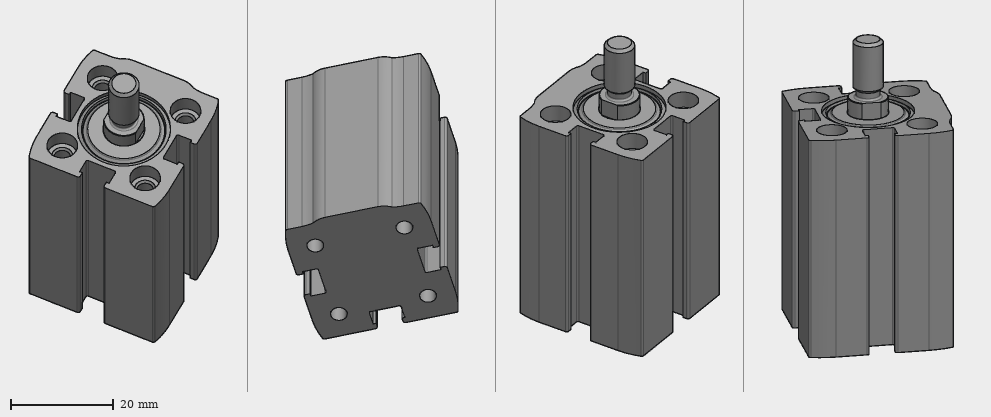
import cadquery as cq
import math

body_width = 29.0
body_height = 45.5
side_half = body_width / 2
front_y = 14.5
shoulder_y = 14.4
ridge_y = 15.5
side_flat_half = 9.25
corner_x = 13.6
corner_radius = 0.5
ridge_half = 5.4
flank_x = 8.0
flank_y = 14.7
ridge_foot = 10.3

slot_depth = 4.5
slot_half = 3.2
mouth_half = 2.6
lip_depth = 1.35
slot_corner_radius = 0.35
lip_radius = 0.5
slot_angles = (-90, 0, 90)

hole_spacing = 18.0
hole_diameter = 3.25
counterbore_diameter = 6.0
counterbore_depth = 3.5
countersink_diameter = 4.1

recess_diameter = 18.2
recess_drop = 0.9
crest_diameter = 16.6
crest_drop = 0.35
groove_outer_diameter = 16.2
groove_inner_diameter = 16.0
groove_drop = 0.9
rim_diameter = 14.65
rim_drop = 0.5
disc_diameter = 14.15
disc_drop = 0.3
socket_chamfer = 0.1

total_height = 60.5
rod_diameter = 8.0
rod_insertion = 6.05
collar_top = 48.45
collar_chamfer = 0.1
flat_width = 7.0
flat_insertion = 0.6
thread_diameter = 6.0
thread_bottom = 50.65
thread_chamfer = 0.6
neck_diameter = 4.7
neck_fillet = 0.4


def arc_middle(tangent_point, end_point):
    """Middle of the arc that leaves tangent_point parallel to an axis and stops at end_point.

    The arc leaves along Y when the larger step is in Y, otherwise along X.
    """
    dx = end_point[0] - tangent_point[0]
    dy = end_point[1] - tangent_point[1]
    run, rise = max(abs(dx), abs(dy)), min(abs(dx), abs(dy))
    radius = (run**2 + rise**2) / (2 * rise)
    half_angle = math.asin(run / radius) / 2
    mid_run = radius * math.sin(half_angle)
    mid_rise = radius * (1 - math.cos(half_angle))
    if abs(dx) > abs(dy):
        step_x, step_y = mid_run, mid_rise
    else:
        step_x, step_y = mid_rise, mid_run
    return (
        tangent_point[0] + math.copysign(step_x, dx),
        tangent_point[1] + math.copysign(step_y, dy),
    )


def is_corner_edge(edge):
    return math.isclose(abs(edge.Center().x), corner_x)


def make_profile():
    side_end = (side_half, side_flat_half)
    corner = (corner_x, shoulder_y)
    foot = (ridge_foot, shoulder_y)
    flank = (flank_x, flank_y)
    ridge_end = (ridge_half, ridge_y)
    front_side_end = (side_half, -side_flat_half)
    front_corner = (corner_x, -front_y)
    return (
        cq.Workplane("XY")
        .moveTo(0, -front_y)
        .lineTo(*front_corner)
        .threePointArc(arc_middle(front_side_end, front_corner), front_side_end)
        .lineTo(*side_end)
        .threePointArc(arc_middle(side_end, corner), corner)
        .lineTo(*foot)
        .threePointArc(arc_middle(foot, flank), flank)
        .threePointArc(arc_middle(ridge_end, flank), ridge_end)
        .lineTo(0, ridge_y)
        .mirrorY()
        .extrude(body_height)
        .edges("|Z")
        .filter(is_corner_edge)
        .fillet(corner_radius)
    )


def make_slot(outer_distance):
    """T-slot cutter opening towards -Y at outer_distance from the axis, with rounded lips."""
    floor_y = slot_depth - outer_distance
    lip_y = lip_depth - outer_distance
    chamber = (
        cq.Workplane("XY")
        .center(0, (floor_y + lip_y) / 2)
        .rect(2 * slot_half, floor_y - lip_y)
        .extrude(body_height)
        .edges("|Z and >Y")
        .fillet(slot_corner_radius)
    )
    flare_half = mouth_half + lip_radius
    mouth = (
        cq.Workplane("XY")
        .moveTo(0, lip_y)
        .lineTo(mouth_half, lip_y)
        .lineTo(mouth_half, lip_radius - outer_distance)
        .radiusArc((flare_half, -outer_distance), -lip_radius)
        .lineTo(0, -outer_distance)
        .mirrorY()
        .extrude(body_height)
    )
    return chamber.union(mouth)


def make_mounting_holes():
    floor_z = body_height - counterbore_depth
    sink_depth = (countersink_diameter - hole_diameter) / 2
    hole_radius = hole_diameter / 2
    return (
        cq.Workplane("XY")
        .rect(hole_spacing, hole_spacing, forConstruction=True)
        .vertices()
        .eachpoint(
            lambda location: cq.Workplane("XZ")
            .moveTo(0, 0)
            .lineTo(hole_radius, 0)
            .lineTo(hole_radius, floor_z - sink_depth)
            .lineTo(countersink_diameter / 2, floor_z)
            .lineTo(counterbore_diameter / 2, floor_z)
            .lineTo(counterbore_diameter / 2, body_height)
            .lineTo(0, body_height)
            .close()
            .revolve(360, (0, 0), (0, 1))
            .val()
            .located(location)
        )
    )


def make_cover_recess():
    """Conical rings and a narrow groove between the recess edge and the central disc."""
    rings = (
        (disc_diameter, disc_drop),
        (rim_diameter, rim_drop),
        (groove_inner_diameter, groove_drop),
        (groove_outer_diameter, groove_drop),
        (crest_diameter, crest_drop),
        (recess_diameter, recess_drop),
    )
    section = cq.Workplane("XZ").moveTo(0, body_height).lineTo(0, body_height - disc_drop)
    for diameter, drop in rings:
        section = section.lineTo(diameter / 2, body_height - drop)
    return section.lineTo(recess_diameter / 2, body_height).close().revolve(360, (0, 0), (0, 1))


def make_rod_socket():
    """Blind bore for the rod with a small chamfer where it opens in the disc."""
    disc_z = body_height - disc_drop
    socket_bottom = body_height - rod_insertion
    socket_radius = rod_diameter / 2
    return (
        cq.Workplane("XZ")
        .moveTo(0, socket_bottom)
        .lineTo(socket_radius, socket_bottom)
        .lineTo(socket_radius, disc_z - socket_chamfer)
        .lineTo(socket_radius + socket_chamfer, disc_z)
        .lineTo(0, disc_z)
        .close()
        .revolve(360, (0, 0), (0, 1))
    )


def make_housing():
    body = make_profile()
    for angle in slot_angles:
        outer_distance = front_y if angle == 0 else side_half
        slot = make_slot(outer_distance)
        body = body.cut(slot.rotate((0, 0, 0), (0, 0, 1), angle))
    body = body.cut(make_mounting_holes())
    body = body.cut(make_cover_recess())
    return body.cut(make_rod_socket())


def make_rod():
    collar_radius = rod_diameter / 2
    neck_radius = neck_diameter / 2
    thread_radius = thread_diameter / 2
    rod_bottom = body_height - rod_insertion
    rod = (
        cq.Workplane("XZ")
        .moveTo(0, rod_bottom)
        .lineTo(collar_radius, rod_bottom)
        .lineTo(collar_radius, collar_top - collar_chamfer)
        .lineTo(collar_radius - collar_chamfer, collar_top)
        .lineTo(neck_radius + neck_fillet, collar_top)
        .radiusArc((neck_radius, collar_top + neck_fillet), neck_fillet)
        .lineTo(neck_radius, thread_bottom - thread_chamfer)
        .lineTo(thread_radius, thread_bottom)
        .lineTo(thread_radius, total_height - thread_chamfer)
        .lineTo(neck_radius, total_height)
        .lineTo(0, total_height)
        .close()
        .revolve(360, (0, 0), (0, 1))
    )
    flat_bottom = body_height - flat_insertion
    flat_cutter = (
        cq.Workplane("XY")
        .workplane(offset=flat_bottom)
        .rect(2 * rod_diameter, 2 * rod_diameter)
        .rect(flat_width, 2 * rod_diameter)
        .extrude(collar_top - flat_bottom)
    )
    return rod.cut(flat_cutter)


housing = make_housing()
rod = make_rod()
result = cq.Compound.makeCompound([housing.val(), rod.val()])